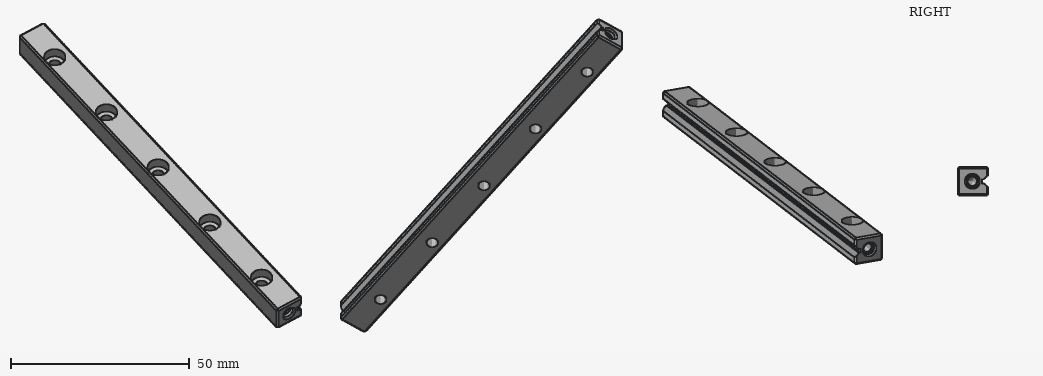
import cadquery as cq
import math

length = 125.0
width = 8.6
height = 8.0
edge_chamfer = 0.5

groove_mouth = 3.6
relief_width = 1.1
relief_depth = 1.8

hole_count = 5
hole_pitch = length / hole_count
hole_to_back = 3.5
hole_diameter = 3.2
counterbore_diameter = 6.0
counterbore_depth = 3.1

end_hole_to_back = 4.1
countersink_diameter = 4.2
thread_diameter = 3.2
thread_depth = 1.5
pilot_diameter = 2.6
pilot_depth = 6.0
drill_point_angle = 118.0

back = -width / 2
front = width / 2
top = height / 2


def rail_blank():
    """Bar with every outer edge chamfered."""
    return cq.Workplane("XY").box(length, width, height).edges().chamfer(edge_chamfer)


def roller_groove():
    """V groove and relief slot running the full length."""
    half_mouth = groove_mouth / 2
    half_relief = relief_width / 2
    relief_start = front - (half_mouth - half_relief)
    relief_root = front - relief_depth
    outline = [
        (front, half_mouth),
        (relief_start, half_relief),
        (relief_root, half_relief),
        (relief_root, -half_relief),
        (relief_start, -half_relief),
        (front, -half_mouth),
    ]
    return cq.Workplane("YZ").polyline(outline).close().extrude(length / 2, both=True)


def drill_mounting_holes(body):
    """Row of counterbored through holes sunk from the top face."""
    return (
        body.faces(">Z")
        .workplane(origin=(0, back + hole_to_back, top))
        .rarray(hole_pitch, 1.2, hole_count, 1)
        .cboreHole(hole_diameter, counterbore_diameter, counterbore_depth)
    )


def end_hole():
    """Countersunk blind hole with a drill point, entering the -X end face."""
    mouth_radius = countersink_diameter / 2
    thread_radius = thread_diameter / 2
    pilot_radius = pilot_diameter / 2
    countersink_depth = mouth_radius - thread_radius
    point_depth = pilot_radius / math.tan(math.radians(drill_point_angle / 2))
    outline = [
        (0, 0),
        (0, mouth_radius),
        (countersink_depth, thread_radius),
        (thread_depth, thread_radius),
        (thread_depth, pilot_radius),
        (pilot_depth, pilot_radius),
        (pilot_depth + point_depth, 0),
    ]
    cutter = cq.Workplane("XY").polyline(outline).close().revolve(360, (0, 0, 0), (1, 0, 0))
    return cutter.translate((-length / 2, back + end_hole_to_back, 0))


result = rail_blank().cut(roller_groove())
result = drill_mounting_holes(result)
left_end_hole = end_hole()
result = result.cut(left_end_hole).cut(left_end_hole.mirror("YZ"))